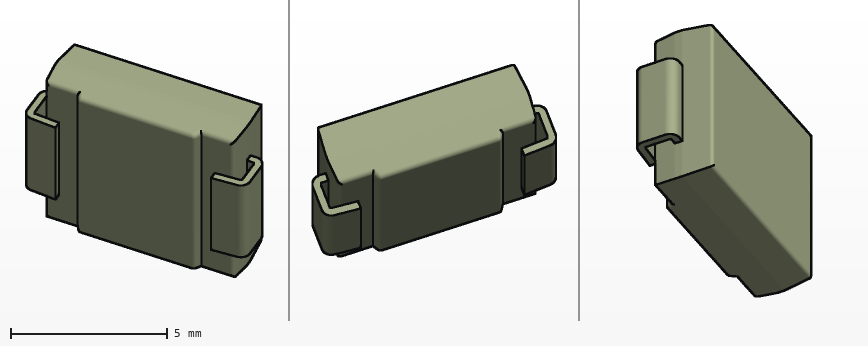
import cadquery as cq
import math

LENGTH = 7.95
HOUSING_LENGTH = 6.85
HOUSING_WIDTH = 5.9
HALF_THICKNESS = 1.2
DRAFT_ANGLE = 5.0
BACK_FILLET = 0.13
FRONT_FILLET = 0.15

SHOULDER_DEPTH = 0.955
PAD_BASE_LENGTH = 4.42
PAD_TOP_LENGTH = 4.135

LEAD_THICKNESS = 0.27
LEAD_WIDTH = 3.05
LEAD_REACH = 1.41
FOOT_LENGTH = 1.2
FOOT_ANGLE = 3.8
INNER_BEND = 0.055
OUTER_BEND = INNER_BEND + LEAD_THICKNESS

BAND_HALF = LEAD_THICKNESS / 2
PICK_MARGIN = 0.01
DRAFT_HEIGHT = HALF_THICKNESS - BAND_HALF


def rectangle_at(y):
    """Full housing rectangle in the XZ plane at height y; its normal is -Y."""
    return cq.Workplane("XZ", origin=(0, y, 0)).rect(HOUSING_LENGTH, HOUSING_WIDTH)


def shoulder_cutter(side):
    """Prism beside the pad, with a sloped inner wall; side is -1 or 1."""
    outside = side * LENGTH / 2
    wall_run = (PAD_BASE_LENGTH - PAD_TOP_LENGTH) / 2
    step = HALF_THICKNESS - SHOULDER_DEPTH
    outline = [
        (outside, -SHOULDER_DEPTH),
        (side * PAD_BASE_LENGTH / 2, -SHOULDER_DEPTH),
        (side * (PAD_BASE_LENGTH / 2 - 2 * wall_run), -SHOULDER_DEPTH - 2 * step),
        (outside, -SHOULDER_DEPTH - 2 * step),
    ]
    return cq.Workplane("XY").polyline(outline).close().extrude(HOUSING_WIDTH, both=True)


def make_housing():
    """Straight band at the leads, drafted walls on both sides and a pad in front."""
    band = rectangle_at(BAND_HALF).extrude(LEAD_THICKNESS)
    back = rectangle_at(BAND_HALF).extrude(-DRAFT_HEIGHT, taper=DRAFT_ANGLE)
    back = back.faces(">Y").edges().fillet(BACK_FILLET)

    front = rectangle_at(-BAND_HALF).extrude(DRAFT_HEIGHT, taper=DRAFT_ANGLE)
    for side in (-1, 1):
        front = front.cut(shoulder_cutter(side))
    front = round_front(front)
    return band.union(back).union(front)


def round_front(front):
    """Round the pad rim, its wall ends and the outer rims of the shoulders."""
    concave = cq.selectors.BoxSelector(
        (-PAD_BASE_LENGTH / 2 - PICK_MARGIN, -SHOULDER_DEPTH - PICK_MARGIN, -PICK_MARGIN),
        (PAD_BASE_LENGTH / 2 + PICK_MARGIN, -SHOULDER_DEPTH + PICK_MARGIN, PICK_MARGIN),
    )
    rim = cq.selectors.BoxSelector(
        (-LENGTH, -LENGTH, -LENGTH), (LENGTH, -SHOULDER_DEPTH + PICK_MARGIN, LENGTH)
    )
    return front.edges(rim - concave).fillet(FRONT_FILLET)


def make_lead(side):
    """C-shaped strip from the housing wall round to the sloped foot; side is -1 or 1."""
    outer = LENGTH / 2
    inner = outer - LEAD_THICKNESS
    tip = outer - FOOT_LENGTH
    wall = HOUSING_LENGTH / 2
    slope = math.tan(math.radians(FOOT_ANGLE))
    outer_corner = -LEAD_REACH + FOOT_LENGTH * slope
    tip_inside = -LEAD_REACH + LEAD_THICKNESS
    inner_corner = tip_inside + (inner - tip) * slope
    outline = [
        (wall, BAND_HALF),
        (outer, BAND_HALF),
        (outer, outer_corner),
        (tip, -LEAD_REACH),
        (tip, tip_inside),
        (inner, inner_corner),
        (inner, -BAND_HALF),
        (wall, -BAND_HALF),
    ]
    points = [(side * x, y) for x, y in outline]
    lead = cq.Workplane("XY").polyline(points).close().extrude(LEAD_WIDTH / 2, both=True)
    outer_side = ">X" if side > 0 else "<X"
    lead = lead.faces(outer_side).edges("|Z").fillet(OUTER_BEND)
    bend_edges = cq.selectors.BoxSelector(
        (side * inner - PICK_MARGIN, inner_corner - PICK_MARGIN, -PICK_MARGIN),
        (side * inner + PICK_MARGIN, -BAND_HALF + PICK_MARGIN, PICK_MARGIN),
    )
    return lead.edges("|Z").edges(bend_edges).fillet(INNER_BEND)


housing = make_housing()
leads = [make_lead(side) for side in (-1, 1)]

result = cq.Compound.makeCompound([housing.val(), *[lead.val() for lead in leads]])